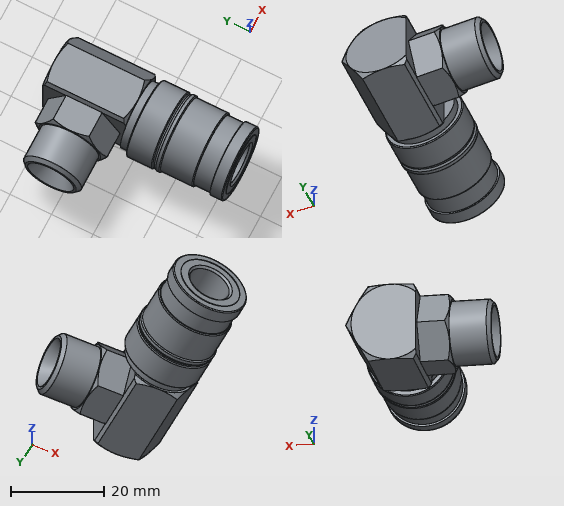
import cadquery as cq
import math


body_flats = 17.0
body_length = 20.0
body_chamfer_angle = 30
port_face_x = -5.55

port_flats = 15.0
port_hex_x = -12.3
port_hex_chamfer_radius = 7.42
stub_x = -21.2
stub_radius = 6.998
stub_chamfer = 0.85
port_bore_radius = 2.95
cone_mouth_radius = 5.558
cone_depth = 4.2

body_end_y = -body_length / 2
tip_y = body_end_y - 25.0
neck_radius = 7.95
collar_radius = 9.1
collar_top_y = -11.9
collar_bottom_y = -18.22
groove_radius = 8.8
groove_bottom_y = -18.6
ring_top_y = -19.1
ring_bottom_y = -20.05
sleeve_radius = 8.78
sleeve_bottom_y = -27.85
waist_radius = 8.32
lip_top_y = -31.95
insert_radius = 7.0
insert_projection = 0.15
edge_break = 0.22

socket_radius = 4.72
socket_chamfer = 0.5
socket_depth = 18.0
passage_radius = 3.5
passage_end_y = 4.5


def across_corners(flats):
    return flats / math.cos(math.pi / 6)


def revolve_about_y(points):
    """Revolve a profile of (radius, y) points about the Y axis."""
    return cq.Workplane("XY").polyline(points).close().revolve(360, (0, 0), (0, 1))


def revolve_about_x(points):
    """Revolve a profile of (x, radius) points about the X axis."""
    return cq.Workplane("XY").polyline(points).close().revolve(360, (0, 0), (1, 0))


def make_body():
    """Hexagon along Y, corners chamfered at both ends, cut flat on the port side."""
    corner_radius = across_corners(body_flats) / 2
    end_radius = body_flats / 2
    half = body_length / 2
    drop = (corner_radius - end_radius) * math.tan(math.radians(body_chamfer_angle))
    hexagon = (
        cq.Workplane("XZ")
        .polygon(6, 2 * corner_radius)
        .extrude(half, both=True)
    )
    envelope = revolve_about_y([
        (0, -half),
        (end_radius, -half),
        (corner_radius, drop - half),
        (corner_radius, half - drop),
        (end_radius, half),
        (0, half),
    ])
    port_side = cq.Workplane("XY").box(
        2 * corner_radius, 2 * body_length, 2 * body_flats, centered=(False, True, True)
    ).translate((port_face_x - 2 * corner_radius, 0, 0))
    return hexagon.intersect(envelope).cut(port_side)


def make_port():
    """Hexagon with its outer corners chamfered, carrying a chamfered tube stub."""
    corner_radius = across_corners(port_flats) / 2
    drop = (corner_radius - port_hex_chamfer_radius) * math.tan(math.pi / 6)
    hexagon = (
        cq.Workplane("YZ", origin=(port_hex_x, 0, 0))
        .polygon(6, 2 * corner_radius)
        .extrude(-port_hex_x)
    )
    envelope = revolve_about_x([
        (port_hex_x, 0),
        (port_hex_x, port_hex_chamfer_radius),
        (port_hex_x + drop, corner_radius),
        (0, corner_radius),
        (0, 0),
    ])
    stub = (
        cq.Workplane("YZ", origin=(stub_x, 0, 0))
        .circle(stub_radius)
        .extrude(-stub_x)
        .faces("<X")
        .chamfer(stub_chamfer)
    )
    return hexagon.intersect(envelope).union(stub)


def make_sleeve():
    """Stepped round coupling sleeve with broken edges."""
    lip_end_y = tip_y + insert_projection
    return revolve_about_y([
        (0, body_end_y),
        (neck_radius, body_end_y),
        (neck_radius, collar_top_y),
        (collar_radius - edge_break, collar_top_y),
        (collar_radius, collar_top_y - edge_break),
        (collar_radius, collar_bottom_y + edge_break),
        (groove_radius, collar_bottom_y),
        (groove_radius, groove_bottom_y),
        (collar_radius, ring_top_y),
        (collar_radius, ring_bottom_y + edge_break),
        (sleeve_radius, ring_bottom_y),
        (sleeve_radius, sleeve_bottom_y + edge_break),
        (sleeve_radius - edge_break, sleeve_bottom_y),
        (waist_radius, sleeve_bottom_y),
        (waist_radius, lip_top_y),
        (sleeve_radius, lip_top_y),
        (sleeve_radius, lip_end_y + edge_break),
        (sleeve_radius - edge_break, lip_end_y),
        (insert_radius, lip_end_y),
        (insert_radius, tip_y),
        (0, tip_y),
    ])


def make_coupling_bore():
    """Socket with a chamfered mouth, leading to a blind passage past the port axis."""
    socket_floor_y = tip_y + socket_depth
    return revolve_about_y([
        (0, tip_y),
        (socket_radius + socket_chamfer, tip_y),
        (socket_radius, tip_y + socket_chamfer),
        (socket_radius, socket_floor_y),
        (passage_radius, socket_floor_y),
        (passage_radius, passage_end_y),
        (0, passage_end_y),
    ])


def make_port_bore():
    """Conical seat leading to a bore that meets the passage."""
    return revolve_about_x([
        (stub_x, 0),
        (stub_x, cone_mouth_radius),
        (stub_x + cone_depth, port_bore_radius),
        (0, port_bore_radius),
        (0, 0),
    ])


result = (
    make_body()
    .union(make_port())
    .union(make_sleeve())
    .cut(make_coupling_bore())
    .cut(make_port_bore())
)